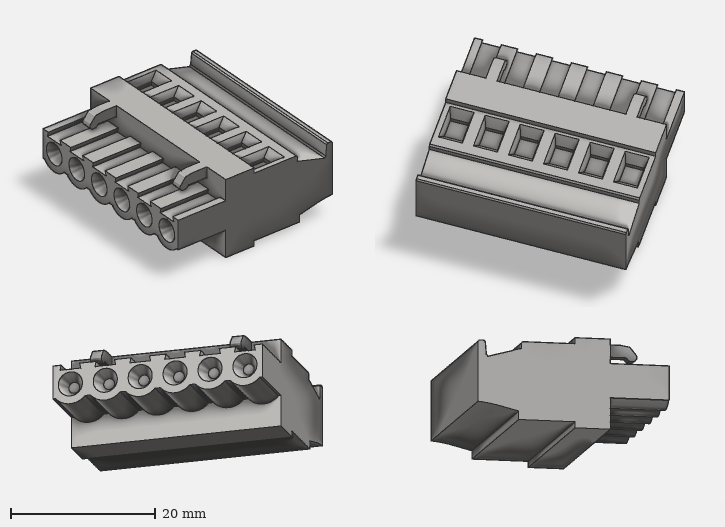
import cadquery as cq
import math

width = 30.48
length = 27.1
height = 12.7
contact_count = 6
pitch = width / contact_count

collar_front = 8.35
collar_rear = 13.35
collar_step = 0.85
body_bottom = collar_step
body_top = height - collar_step
shelf_front = 20.97
shelf_front_height = 10.88
shelf_rear_height = 9.6
shelf_edge_chamfer = 0.25
lip_foot = 25.7
lip_foot_bevel = (25.9, 9.88)
lip_front = 26.05
lip_chamfer = 0.2
heel_front = 21.35
heel_height = 2.05
heel_bend = (24.48, 2.8)
heel_bend_middle = (25.82, 3.05)
rear_bottom = 3.2

plug_top = 9.27
web_bottom = 4.45
contact_height = 6.37
barrel_radius = 2.9
key_groove_depth = 0.73
key_groove_top = 2.68
key_groove_floor = 3.02

funnel_mouth = 3.5
funnel_throat = 1.6
funnel_depth = 1.75

pocket_center = 16.52
pocket_mouth = (3.47, 5.43)
pocket_well = (2.75, 3.17)
pocket_taper_depth = 1.22
pocket_well_depth = 0.6

latch_width = 1.62
latch_positions = [pitch, width - pitch]
latch_bottom = 10.97
latch_nose_start = 6.0
latch_nose_end = (4.88, 12.53)
latch_shoulder_middle = (4.65, 12.47)
latch_shoulder_end = (4.5, 12.3)
latch_tip_start = (3.85, 11.5)
latch_tip_middle = (3.65, 11.0)
latch_tip_end = (4.15, 10.5)
latch_tip_flat_end = (4.7, 10.5)
latch_hook_start = 5.25
latch_root_radius = 0.18


def contact_x(index):
    """X position of a contact."""
    return (index + 0.5) * pitch


def make_body():
    """Collar, clamp housing and rear lip, as one side outline extruded across the width."""
    return (
        cq.Workplane("YZ")
        .moveTo(collar_front, 0)
        .lineTo(collar_front, height)
        .lineTo(collar_rear, height)
        .lineTo(collar_rear, body_top)
        .lineTo(shelf_front - shelf_edge_chamfer, body_top)
        .lineTo(shelf_front, body_top - shelf_edge_chamfer)
        .lineTo(shelf_front, shelf_front_height)
        .lineTo(lip_foot, shelf_rear_height)
        .lineTo(*lip_foot_bevel)
        .lineTo(lip_front, body_top - lip_chamfer)
        .lineTo(lip_front + lip_chamfer, body_top)
        .lineTo(length - lip_chamfer, body_top)
        .lineTo(length, body_top - lip_chamfer)
        .lineTo(length, rear_bottom)
        .threePointArc(heel_bend_middle, heel_bend)
        .lineTo(heel_front, heel_height)
        .lineTo(heel_front, body_bottom)
        .lineTo(collar_rear, body_bottom)
        .lineTo(collar_rear, 0)
        .close()
        .extrude(width)
    )


def make_plug():
    """Plug block with rounded barrels bulging below it, running back into the collar."""
    plug = cq.Workplane("XY").box(width, collar_front, plug_top - web_bottom, centered=False)
    plug = plug.translate((0, 0, web_bottom))
    sag_start = contact_height - web_bottom
    half_chord = math.sqrt(barrel_radius**2 - sag_start**2)
    for index in range(contact_count):
        x = contact_x(index)
        barrel = (
            cq.Workplane("XZ")
            .moveTo(x - half_chord, web_bottom)
            .threePointArc((x, contact_height - barrel_radius), (x + half_chord, web_bottom))
            .close()
            .extrude(-collar_front)
        )
        plug = plug.union(barrel)
    return plug


def make_key_groove(x):
    """Undercut groove along the top of the plug."""
    floor = plug_top - key_groove_depth
    return (
        cq.Workplane("XZ")
        .polyline([
            (x - key_groove_top / 2, plug_top),
            (x - key_groove_floor / 2, floor),
            (x + key_groove_floor / 2, floor),
            (x + key_groove_top / 2, plug_top),
        ])
        .close()
        .extrude(-collar_front)
    )


def make_funnel(x):
    """Tapered contact opening in the plug face."""
    return (
        cq.Workplane("XZ")
        .center(x, contact_height)
        .circle(funnel_mouth / 2)
        .workplane(offset=-funnel_depth)
        .circle(funnel_throat / 2)
        .loft()
    )


def make_pocket(x):
    """Rectangular screw pocket, tapering down to a straight-sided well."""
    taper = (
        cq.Workplane("XY", origin=(x, pocket_center, body_top))
        .rect(*pocket_mouth)
        .workplane(offset=-pocket_taper_depth)
        .rect(*pocket_well)
        .loft()
    )
    return taper.faces("<Z").workplane().rect(*pocket_well).extrude(pocket_well_depth)


def make_latch(x):
    """Latch arm reaching forward from the collar, with a hooked round tip."""
    return (
        cq.Workplane("YZ", origin=(x - latch_width / 2, 0, 0))
        .moveTo(collar_front, height)
        .lineTo(latch_nose_start, height)
        .lineTo(*latch_nose_end)
        .threePointArc(latch_shoulder_middle, latch_shoulder_end)
        .lineTo(*latch_tip_start)
        .threePointArc(latch_tip_middle, latch_tip_end)
        .lineTo(*latch_tip_flat_end)
        .lineTo(latch_hook_start, latch_bottom)
        .lineTo(collar_front - latch_root_radius, latch_bottom)
        .tangentArcPoint((collar_front, latch_bottom - latch_root_radius), relative=False)
        .close()
        .extrude(latch_width)
    )


result = make_body().union(make_plug())

for latch_x in latch_positions:
    result = result.union(make_latch(latch_x))

for contact_index in range(contact_count):
    center_x = contact_x(contact_index)
    result = result.cut(make_key_groove(center_x))
    result = result.cut(make_funnel(center_x))
    result = result.cut(make_pocket(center_x))